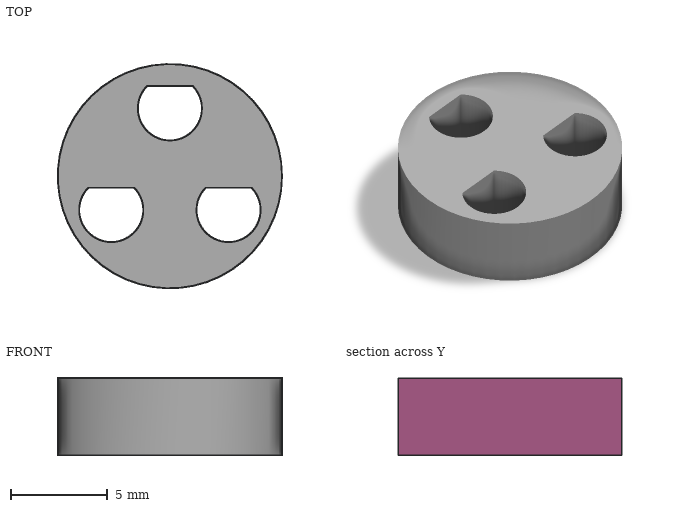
import cadquery as cq
import math

disc_diameter = 11.6
thickness = 4.0

hole_count = 3
hole_radius = 1.65
flat_offset = 1.15
pitch_radius = 3.5
first_hole_angle = 90.0

flat_half_width = math.sqrt(hole_radius**2 - flat_offset**2)


def d_hole(center_x, center_y):
    """Cutter for one D-shaped hole whose flat faces +Y."""
    flat_y = center_y + flat_offset
    return (
        cq.Workplane("XY")
        .moveTo(center_x - flat_half_width, flat_y)
        .threePointArc(
            (center_x, center_y - hole_radius),
            (center_x + flat_half_width, flat_y),
        )
        .close()
        .extrude(thickness)
    )


result = cq.Workplane("XY").circle(disc_diameter / 2).extrude(thickness)

for index in range(hole_count):
    angle = math.radians(first_hole_angle + index * 360.0 / hole_count)
    hole_x = pitch_radius * math.cos(angle)
    hole_y = pitch_radius * math.sin(angle)
    result = result.cut(d_hole(hole_x, hole_y))